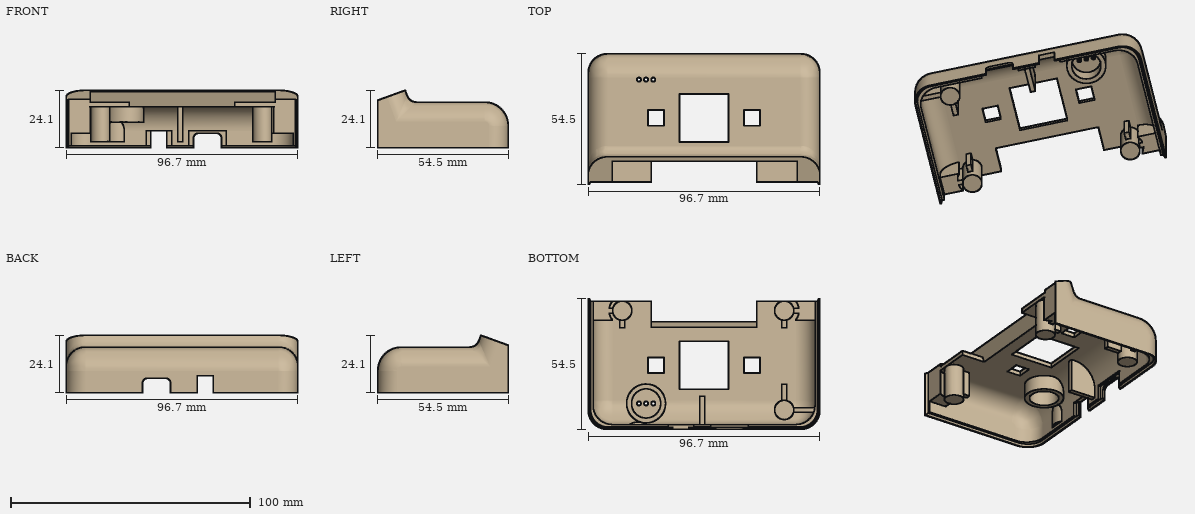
import cadquery as cq
import math

LENGTH = 96.7
DEPTH = 54.5
WALL = 2.0
PANEL_Z = 19.1
EDGE_RADIUS = 8.0
REAR_RADIUS = 10.0

CREST_Y = 11.5
CREST_Z = 24.1
WEDGE_ANGLE = 20.0
CREASE_RADIUS = 4.0

LIP_HEIGHT = 1.0
LIP_TIP = 0.4
LIP_BASE = 1.1

RECESS_X = (-38.3, 38.9)
SHELF_GAP = 43.9

BLOCK_INNER_X = 38.3
BLOCK_Z = 6.1
BLOCK_REAR_Y = 9.1
RELIEF_DIAMETER = 12.2
RELIEF_X = 33.6
POST_DIAMETER = 8.0
POST_Z = 2.6
POST_LEFT_X = -34.1
POST_RIGHT_X = 33.5
POST_FRONT_Y = LIP_HEIGHT + POST_DIAMETER / 2
POST_REAR_Y = 46.4
FRONT_WEB_REACH = 7.1
REAR_WEB_REACH = 10.6

WINDOW_Y = 27.8
SCREEN_SIZE = (20.3, 19.9)
BUTTON_SIZE = (6.6, 6.4)
BUTTON_X = 20.0
SOUND_HOLE_DIAMETER = 1.6
SOUND_HOLE_PITCH = 3.0

BUZZER_X = -24.2
BUZZER_Y = 43.7
BUZZER_Z = 10.7
BUZZER_DIAMETER = 12.2

RIB_X = -0.7
RIB_FRONT_Y = 40.8
BULGE_X = -27.6
BULGE_Y = 57.5
BULGE_DIAMETER = 12.2
SOCKET_SKIN = 1.0
SOCKET_MARGIN = 2.0
SQUARE_SOCKET_X = (-13.0, -6.4)
ROUNDED_SOCKET_X = (4.8, 16.4)
ROUNDED_SOCKET_Z = 6.1
SOCKET_RADIUS = 2.0

half_length = LENGTH / 2
ceiling_z = PANEL_Z - WALL
inner_half = half_length - WALL
inner_rear_y = DEPTH - WALL
straight_wall_z = ceiling_z - REAR_RADIUS
tilt = math.radians(WEDGE_ANGLE)


def box(x_range, y_range, z_range):
    corner = (x_range[0], y_range[0], z_range[0])
    sizes = (x_range[1] - x_range[0], y_range[1] - y_range[0], z_range[1] - z_range[0])
    return cq.Workplane("XY").box(*sizes, centered=False).translate(corner)


def cylinder(x, y, diameter, z_range):
    height = z_range[1] - z_range[0]
    return cq.Workplane("XY").circle(diameter / 2).extrude(height).translate((x, y, z_range[0]))


def around(middle, size):
    return (middle - size / 2, middle + size / 2)


def rounded_case(half, rear_y, top_z):
    """Box with a rounded rear top edge; one fillet runs along both sides and rear corners."""
    case = box((-half, half), (0, rear_y), (0, top_z))
    case = case.edges(">Y and >Z").fillet(REAR_RADIUS)
    return case.edges("|Z and >Y").fillet(EDGE_RADIUS)


def front_wedge():
    """Tilted block with rounded rear corners, trimmed to the front and base of the case."""
    reach = DEPTH / 2
    block = box((-half_length, half_length), (-reach, 0), (-reach, 0))
    block = block.edges("|Z and >Y").fillet(EDGE_RADIUS)
    block = block.rotate((0, 0, 0), (1, 0, 0), WEDGE_ANGLE).translate((0, CREST_Y, CREST_Z))
    return block.intersect(box((-half_length, half_length), (0, DEPTH), (0, CREST_Z)))


def outer_body():
    body = rounded_case(half_length, DEPTH, PANEL_Z).union(front_wedge())
    crease_y = CREST_Y + (CREST_Z - PANEL_Z) * math.tan(tilt)
    crease = cq.selectors.NearestToPointSelector((0, crease_y, PANEL_Z))
    return body.edges(crease).fillet(CREASE_RADIUS)


def recess_prism(x_range, floor_z):
    """Space in front of the ramp wall, whose front face is parallel to the ramp."""
    top_y = CREST_Y - WALL / math.cos(tilt)
    floor_y = top_y + (CREST_Z - floor_z) * math.tan(tilt)
    outline = [(0, floor_z), (floor_y, floor_z), (top_y, CREST_Z), (0, CREST_Z)]
    prism = cq.Workplane("YZ").polyline(outline).close().extrude(x_range[1] - x_range[0])
    return prism.translate((x_range[0], 0, 0))


def front_recess():
    over_shelves = recess_prism(RECESS_X, PANEL_Z)
    between_shelves = recess_prism(around(0, SHELF_GAP), ceiling_z)
    return over_shelves.union(between_shelves)


def rim_outline(inset, z):
    """Plan outline of the case, moved inwards by inset on the sides and rear."""
    half = half_length - inset
    rear = DEPTH - inset
    radius = EDGE_RADIUS - inset
    bulge = radius * (1 - math.sqrt(0.5))
    outline = (
        cq.Workplane("XY", origin=(0, 0, z))
        .moveTo(-half, 0)
        .lineTo(half, 0)
        .lineTo(half, rear - radius)
        .threePointArc((half - bulge, rear - bulge), (half - radius, rear))
        .lineTo(radius - half, rear)
        .threePointArc((bulge - half, rear - bulge), (-half, rear - radius))
        .close()
    )
    return outline.val()


def lip_taper():
    """Material to remove from the rim and the front so that only the tapered lip remains."""
    rim = cq.Solid.makeLoft([rim_outline(LIP_TIP, 0), rim_outline(LIP_BASE, LIP_HEIGHT)], True)
    tip_x = half_length - LIP_TIP
    base_x = half_length - LIP_BASE
    front = (
        cq.Workplane("XY")
        .polyline([(-tip_x, 0), (tip_x, 0), (base_x, LIP_HEIGHT), (-base_x, LIP_HEIGHT)])
        .close()
        .extrude(CREST_Z)
    )
    return front.union(cq.Workplane(rim))


def side_range(inner_x, side):
    """X range from inner_x into the side wall on the given side."""
    return tuple(sorted((inner_x, side * (inner_half + WALL / 4))))


def corner_block(side):
    block = box(side_range(side * BLOCK_INNER_X, side), (LIP_HEIGHT, BLOCK_REAR_Y), (BLOCK_Z, PANEL_Z))
    relief = cylinder(side * RELIEF_X, POST_FRONT_Y, RELIEF_DIAMETER, (0, ceiling_z))
    return block.cut(relief)


def webbed_post(x, y, web_end_y, side):
    """Post with one web to the side wall and one along Y."""
    web_z = (BLOCK_Z, PANEL_Z)
    post = cylinder(x, y, POST_DIAMETER, (POST_Z, PANEL_Z))
    side_web = box(side_range(x, side), around(y, WALL), web_z)
    long_web = box(around(x, WALL), sorted((y, web_end_y)), web_z)
    return post.union(side_web).union(long_web)


def supports():
    """Everything that hangs inside the case, trimmed so that it stays within the walls."""
    parts = cylinder(BUZZER_X, BUZZER_Y, BUZZER_DIAMETER + 2 * WALL, (BUZZER_Z, PANEL_Z))
    parts = parts.union(box(around(RIB_X, WALL), (RIB_FRONT_Y, DEPTH), (POST_Z, PANEL_Z)))
    parts = parts.union(cylinder(BULGE_X, BULGE_Y, BULGE_DIAMETER, (POST_Z, PANEL_Z)))
    for side, post_x in ((-1, POST_LEFT_X), (1, POST_RIGHT_X)):
        parts = parts.union(corner_block(side))
        parts = parts.union(webbed_post(post_x, POST_FRONT_Y, POST_FRONT_Y + FRONT_WEB_REACH, side))
    parts = parts.union(webbed_post(POST_RIGHT_X, POST_REAR_Y, POST_REAR_Y - REAR_WEB_REACH, 1))
    mid_wall = WALL / 2
    return parts.intersect(rounded_case(inner_half + mid_wall, inner_rear_y + mid_wall, ceiling_z + mid_wall))


def panel_openings():
    through = (ceiling_z, PANEL_Z)
    cuts = box(around(0, SCREEN_SIZE[0]), around(WINDOW_Y, SCREEN_SIZE[1]), through)
    for x in (-BUTTON_X, BUTTON_X):
        cuts = cuts.union(box(around(x, BUTTON_SIZE[0]), around(WINDOW_Y, BUTTON_SIZE[1]), through))
    for step in (-1, 0, 1):
        x = BUZZER_X + step * SOUND_HOLE_PITCH
        cuts = cuts.union(cylinder(x, BUZZER_Y, SOUND_HOLE_DIAMETER, through))
    return cuts


def socket_border(x_range):
    """Pocket that thins the rear wall around a socket."""
    wide = (x_range[0] - SOCKET_MARGIN, x_range[1] + SOCKET_MARGIN)
    return box(wide, (inner_rear_y, DEPTH - SOCKET_SKIN), (0, straight_wall_z))


def rear_sockets():
    wall_y = (inner_rear_y, DEPTH)
    square = box(SQUARE_SOCKET_X, wall_y, (0, straight_wall_z))
    rounded = box(ROUNDED_SOCKET_X, wall_y, (0, ROUNDED_SOCKET_Z)).edges("|Y and >Z").fillet(SOCKET_RADIUS)
    borders = socket_border(SQUARE_SOCKET_X).union(socket_border(ROUNDED_SOCKET_X))
    return borders.union(square).union(rounded)


shell = outer_body().cut(rounded_case(inner_half, inner_rear_y, ceiling_z)).cut(lip_taper())
shell = shell.union(supports())
buzzer_bore = cylinder(BUZZER_X, BUZZER_Y, BUZZER_DIAMETER, (BUZZER_Z, ceiling_z))
result = shell.cut(front_recess()).cut(buzzer_bore).cut(panel_openings()).cut(rear_sockets())